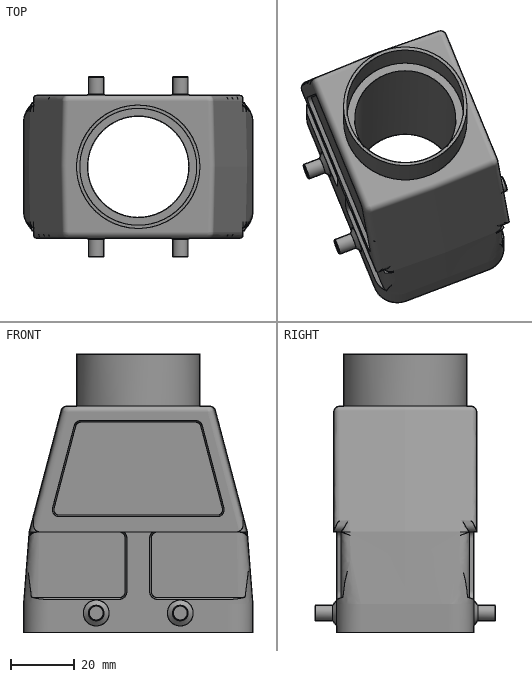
import cadquery as cq
import math

TOTAL_HEIGHT = 88.1
BASE_LENGTH = 72.6
BASE_WIDTH = 43.35
PIN_SPAN = 57.2

SKIRT_HEIGHT = 9.0
SHOULDER_HEIGHT = 31.8
ROOF_HEIGHT = 71.6

SKIRT_CORNER_RADIUS = 7.7
WAIST_LENGTH = 69.1
WAIST_CORNER_RADIUS = 3.2

HOOD_WIDTH = 45.3
ROOF_LENGTH = 48.1
RIDGE_SLOPE = 0.024
HOOD_EDGE_RADIUS = 1.9

CORE_WIDTH = 40.5
CORE_CORNER_RADIUS = 2.9
CORE_FOOT_RADIUS = 4.6
CORE_TOP = 44.05

NOTCH_X = 33.1
NOTCH_LIP_RADIUS = 2.1
NOTCH_TOP = 37.0

WALL_OFFSET = 0.5
POCKET_RIB_WIDTH = 7.2
POCKET_BOTTOM = 10.5
POCKET_RADIUS = 2.5
POCKET_REACH = 5.3
PANEL_BOTTOM = 36.65
PANEL_TOP = 67.05
PANEL_BOTTOM_LENGTH = 55.7
PANEL_RADIUS = 2.2
PANEL_DEPTH = 1.3

NECK_DIAMETER = 39.0
NECK_BORE = 37.0
CABLE_BORE = 32.0
LEDGE_HEIGHT = 73.1

PIN_DIAMETER = 4.9
PIN_SPACING = 26.6
PIN_HEIGHT = 6.2
PIN_CHAMFER = 0.3
COLLAR_DIAMETER = 8.2
COLLAR_LENGTH = 1.3

NOTCH_Y = CORE_WIDTH / 2 - CORE_CORNER_RADIUS
POCKET_DEPTH = (BASE_WIDTH - CORE_WIDTH) / 2
WALL_TAPER = math.degrees(math.atan(WALL_OFFSET / POCKET_DEPTH))
END_SLOPE = (WAIST_LENGTH - ROOF_LENGTH) / (ROOF_HEIGHT - SHOULDER_HEIGHT)


def hood_length(z):
    """Length of the sloping upper hood at height z."""
    return WAIST_LENGTH - END_SLOPE * (z - SHOULDER_HEIGHT)


def outline(length, width, ridge_slope, radius=0):
    """Six-sided section whose ends fall back by `ridge_slope` on both sides of mid width."""
    x = length / 2
    y = width / 2
    side_x = x - ridge_slope * y
    points = [(x, 0), (side_x, y), (-side_x, y), (-x, 0), (-side_x, -y), (side_x, -y)]
    sketch = cq.Sketch().polygon(points + points[:1])
    if radius:
        sketch = sketch.vertices(">Y or <Y").fillet(radius).reset()
    return sketch


def frustum(lower, z_lower, upper, z_upper):
    """Ruled solid between two sections."""
    lower = lower.moved(cq.Location(cq.Vector(0, 0, z_lower)))
    upper = upper.moved(cq.Location(cq.Vector(0, 0, z_upper)))
    return cq.Workplane("XY").placeSketch(lower, upper).loft(ruled=True)


def both_sides(solid):
    return solid.union(solid.mirror("XZ"))


def four_corners(solid):
    return both_sides(solid.union(solid.mirror("YZ")))


def make_core():
    lower_end = outline(BASE_LENGTH, CORE_WIDTH, 0, CORE_FOOT_RADIUS)
    waist = outline(WAIST_LENGTH, CORE_WIDTH, RIDGE_SLOPE, CORE_CORNER_RADIUS)
    upper_end = outline(hood_length(CORE_TOP), CORE_WIDTH, RIDGE_SLOPE, CORE_CORNER_RADIUS)
    lower = frustum(lower_end, SKIRT_HEIGHT, waist, SHOULDER_HEIGHT)
    return lower, frustum(waist, SHOULDER_HEIGHT, upper_end, CORE_TOP)


def make_pockets():
    """Tapered cutters, open at the ends of the part."""
    inner_x = POCKET_RIB_WIDTH / 2
    top = SHOULDER_HEIGHT + WALL_OFFSET
    cutter = (
        cq.Workplane("XZ", origin=(0, -BASE_WIDTH / 2, 0))
        .sketch()
        .push([((inner_x + BASE_LENGTH) / 2, (POCKET_BOTTOM + top) / 2)])
        .rect(BASE_LENGTH - inner_x, top - POCKET_BOTTOM)
        .reset()
        .vertices()
        .fillet(POCKET_RADIUS)
        .finalize()
        .extrude(-POCKET_REACH, taper=WALL_TAPER)
    )
    return four_corners(cutter)


def make_lower_body(core):
    skirt_section = outline(BASE_LENGTH, BASE_WIDTH, 0, SKIRT_CORNER_RADIUS)
    waist_section = outline(WAIST_LENGTH, BASE_WIDTH, RIDGE_SLOPE, WAIST_CORNER_RADIUS)
    skirt = cq.Workplane("XY").placeSketch(skirt_section).extrude(SKIRT_HEIGHT)
    taper = frustum(skirt_section, SKIRT_HEIGHT, waist_section, SHOULDER_HEIGHT)
    return skirt.union(taper.cut(make_pockets().cut(core)))


def make_panels():
    z_span = PANEL_TOP - PANEL_BOTTOM
    bottom_x = PANEL_BOTTOM_LENGTH / 2
    top_x = bottom_x - END_SLOPE / 2 * z_span
    corners = [
        (-bottom_x, PANEL_BOTTOM),
        (bottom_x, PANEL_BOTTOM),
        (top_x, PANEL_TOP),
        (-top_x, PANEL_TOP),
    ]
    section = cq.Sketch().polygon(corners + corners[:1])
    section = section.vertices().fillet(PANEL_RADIUS)
    panel = (
        cq.Workplane("XZ", origin=(0, -HOOD_WIDTH / 2, 0))
        .placeSketch(section)
        .extrude(-PANEL_DEPTH, taper=WALL_TAPER)
    )
    return both_sides(panel)


def make_notches():
    """Cutters that trim the hood ends outside the core."""
    lip_x = NOTCH_X - NOTCH_LIP_RADIUS
    lip_z = SHOULDER_HEIGHT + NOTCH_LIP_RADIUS
    arc_reach = NOTCH_LIP_RADIUS * math.sqrt(0.5)
    notch = (
        cq.Workplane("XZ", origin=(0, -NOTCH_Y, 0))
        .moveTo(lip_x, SHOULDER_HEIGHT)
        .threePointArc((lip_x + arc_reach, lip_z - arc_reach), (NOTCH_X, lip_z))
        .lineTo(NOTCH_X, NOTCH_TOP)
        .lineTo(BASE_LENGTH / 2, NOTCH_TOP)
        .lineTo(BASE_LENGTH / 2, SHOULDER_HEIGHT)
        .close()
        .extrude(HOOD_WIDTH / 2 - NOTCH_Y)
    )
    return four_corners(notch)


def make_upper_hood(core):
    hood = frustum(
        outline(WAIST_LENGTH, HOOD_WIDTH, RIDGE_SLOPE), SHOULDER_HEIGHT,
        outline(ROOF_LENGTH, HOOD_WIDTH, RIDGE_SLOPE), ROOF_HEIGHT,
    )
    top_edges = hood.faces(">Z").edges()
    corner_edges = hood.faces("<Y or >Y").edges("not |X")
    hood = hood.newObject(top_edges.vals() + corner_edges.vals()).fillet(HOOD_EDGE_RADIUS)
    return hood.cut(make_notches().cut(core)).cut(make_panels())


def make_pins():
    root = BASE_WIDTH / 2
    tip = PIN_SPAN / 2
    pin_r = PIN_DIAMETER / 2
    profile = [
        (0, root - COLLAR_LENGTH),
        (COLLAR_DIAMETER / 2, root - COLLAR_LENGTH),
        (COLLAR_DIAMETER / 2, root),
        (pin_r, root + COLLAR_LENGTH),
        (pin_r, tip - PIN_CHAMFER),
        (pin_r - PIN_CHAMFER, tip),
        (0, tip),
    ]
    pin = cq.Workplane("XY").polyline(profile).close().revolve(360, (0, 0, 0), (0, 1, 0))
    return four_corners(pin.translate((PIN_SPACING / 2, 0, PIN_HEIGHT)))


lower_core, upper_core = make_core()
neck = (
    cq.Workplane("XY", origin=(0, 0, ROOF_HEIGHT))
    .circle(NECK_DIAMETER / 2)
    .extrude(TOTAL_HEIGHT - ROOF_HEIGHT)
)
cable_hole = cq.Workplane("XY").circle(CABLE_BORE / 2).extrude(TOTAL_HEIGHT)
neck_hole = (
    cq.Workplane("XY", origin=(0, 0, LEDGE_HEIGHT))
    .circle(NECK_BORE / 2)
    .extrude(TOTAL_HEIGHT - LEDGE_HEIGHT)
)

result = (
    make_lower_body(lower_core)
    .union(make_upper_hood(upper_core))
    .union(neck)
    .union(make_pins())
    .cut(cable_hole)
    .cut(neck_hole)
)